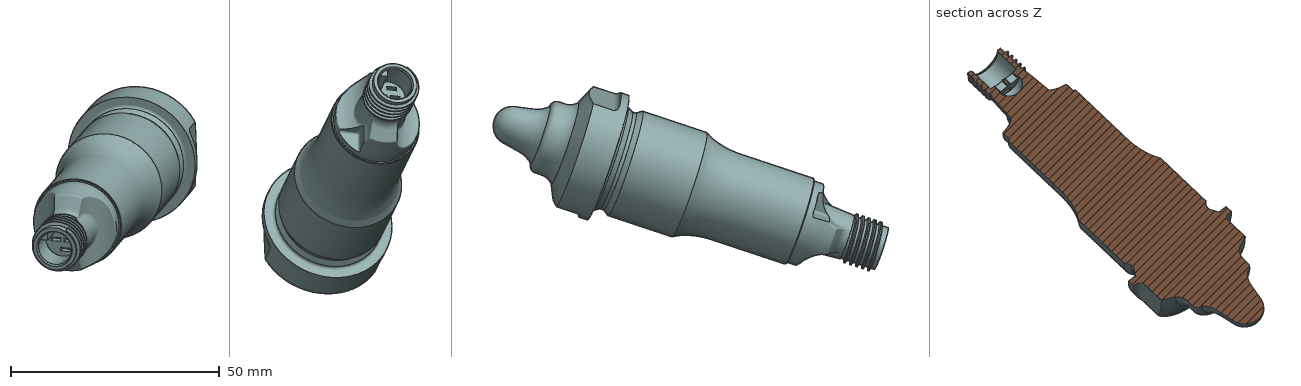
import cadquery as cq
import math


TOTAL_LENGTH = 98.0
FLANGE_RADIUS = 31.5 / 2

NOSE_BALL_RADIUS = 4.71
NOSE_BALL_END_Y = TOTAL_LENGTH - 3.7
NOSE_CONE_END_Y = 89.6
NOSE_CONE_END_RADIUS = 5.5
NOSE_FLARE_END_Y = 86.3
NOSE_FLARE_END_RADIUS = 7.3
COLLAR_RADIUS = 18.0 / 2
COLLAR_TOP_Y = 84.6
COLLAR_BOTTOM_Y = 83.0

FLANGE_CONE_RADIUS = 20.6 / 2
FLANGE_CONE_Y = 80.1
FLANGE_TOP_Y = 77.5
FLANGE_BOTTOM_Y = 69.2
FLAT_DISTANCE = 13.5
FLAT_BOTTOM_Y = 71.2
FLAT_ROOT_RADIUS = 1.3

GROOVE_LIP_RADIUS = 13.8
GROOVE_LIP_ROUND = 0.7
GROOVE_RADIUS = 12.25
GROOVE_TOP_Y = 67.1
GROOVE_BOTTOM_Y = 66.2

BARREL_RADIUS = 13.2
BARREL_TOP_Y = 64.8
BARREL_BOTTOM_Y = 48.6
FLARE_RADIUS = 12.3
FLARE_TOP_Y = 46.9
FLARE_BOTTOM_Y = 39.5
SLEEVE_RADIUS = 10.85
SLEEVE_BOTTOM_Y = 20.6
SLEEVE_CHAMFER = 0.2

SHOULDER_RADIUS = 20.6 / 2
SHOULDER_TAPER_Y = 18.4
WEB_END_RADIUS = 9.6
WEB_END_Y = 12.4
WEB_SLOPE_RADIUS = 6.8
WEB_SLOPE_Y = 10.8
WEB_ROOT_RADIUS = 5.65
WEB_HALF_WIDTH = 3.2
SCOOP_RADIUS = 7.3
SCOOP_TOP_Y = 18.0
SCOOP_EDGE_ROUND = 0.45

NECK_TOP_RADIUS = 6.25
NECK_TOP_Y = 19.0
NECK_BOTTOM_RADIUS = 5.5
NECK_BOTTOM_Y = 8.7
NECK_ROOT_ROUND = 0.7

NOTCH_X = -4.3
NOTCH_Z = -4.1
NOTCH_TOP_Y = 19.0
NOTCH_ROUND = 0.6

THREAD_ROOT_RADIUS = 10.6 / 2
THREAD_CREST_RADIUS = 6.05
THREAD_PITCH = 1.5
THREAD_TURNS = 5.0
THREAD_END_Y = 1.0
THREAD_END_ANGLE = 60.0
THREAD_BASE_WIDTH = 1.0
THREAD_CREST_WIDTH = 0.35
THREAD_EMBED = 0.2

MOUTH_RADIUS = 8.81 / 2
BORE_RADIUS = 8.2 / 2
MOUTH_CHAMFER_DEPTH = 0.5
BORE_DEPTH = 7.0
KEY_OFFSET = 1.85
CONTACT_LENGTH = 2.4
CONTACT_WIDTH = 0.9
CONTACT_CENTERS = [(0.77, 2.4), (0.77, -2.4), (-1.62, 0.0), (1.65, 0.0)]
INSERT_THICKNESS = 2.0
CHAMBER_RADIUS = 3.2

REACH = 2 * FLANGE_RADIUS
EDGE_MARGIN = 0.1
SLOT_OVERLAP = 0.2


def revolve_about_y(profile):
    """Full turn about Y, with the surface seam on the Z side, clear of the scoops."""
    turned = profile.close().revolve(360, (0, 0, 0), (0, 1, 0))
    return turned.rotate((0, 0, 0), (0, 1, 0), 90)


def ring_arc_mid(start, end, center):
    """Point halfway along the short arc from start to end about center."""
    radius = math.hypot(start[0] - center[0], start[1] - center[1])
    chord_x = (start[0] + end[0]) / 2 - center[0]
    chord_y = (start[1] + end[1]) / 2 - center[1]
    stretch = radius / math.hypot(chord_x, chord_y)
    return center[0] + chord_x * stretch, center[1] + chord_y * stretch


def axial_arc_mid(straight_end, flared_end):
    """Middle of an arc from straight_end, where it runs parallel to the axis, to flared_end."""
    rise = flared_end[0] - straight_end[0]
    run = flared_end[1] - straight_end[1]
    radius = (rise**2 + run**2) / (2 * rise)
    center = (straight_end[0] + radius, straight_end[1])
    return ring_arc_mid(straight_end, flared_end, center)


def make_turned_body():
    ball_center = (0, TOTAL_LENGTH - NOSE_BALL_RADIUS)
    tip = (0, TOTAL_LENGTH)
    ball_offset = NOSE_BALL_END_Y - ball_center[1]
    ball_end = (math.sqrt(NOSE_BALL_RADIUS**2 - ball_offset**2), NOSE_BALL_END_Y)
    flare_end = (NOSE_FLARE_END_RADIUS, NOSE_FLARE_END_Y)
    collar_top = (COLLAR_RADIUS, COLLAR_TOP_Y)
    collar_bottom = (COLLAR_RADIUS, COLLAR_BOTTOM_Y)
    cone_start = (FLANGE_CONE_RADIUS, FLANGE_CONE_Y)
    groove_lip = (GROOVE_LIP_RADIUS, FLANGE_BOTTOM_Y)
    groove_edge = (GROOVE_LIP_RADIUS - GROOVE_LIP_ROUND, FLANGE_BOTTOM_Y - GROOVE_LIP_ROUND)
    barrel_flare = (FLARE_RADIUS, FLARE_TOP_Y)
    sleeve_top = (SLEEVE_RADIUS, FLARE_BOTTOM_Y)
    profile = (
        cq.Workplane("XY")
        .moveTo(*tip)
        .threePointArc(ring_arc_mid(tip, ball_end, ball_center), ball_end)
        .lineTo(NOSE_CONE_END_RADIUS, NOSE_CONE_END_Y)
        .tangentArcPoint(flare_end, relative=False)
        .threePointArc(axial_arc_mid(collar_top, flare_end), collar_top)
        .lineTo(*collar_bottom)
        .threePointArc(axial_arc_mid(collar_bottom, cone_start), cone_start)
        .lineTo(FLANGE_RADIUS, FLANGE_TOP_Y)
        .lineTo(FLANGE_RADIUS, FLANGE_BOTTOM_Y)
        .lineTo(*groove_lip)
        .threePointArc(axial_arc_mid(groove_edge, groove_lip), groove_edge)
        .lineTo(GROOVE_RADIUS, GROOVE_TOP_Y)
        .lineTo(GROOVE_RADIUS, GROOVE_BOTTOM_Y)
        .lineTo(BARREL_RADIUS, BARREL_TOP_Y)
        .lineTo(BARREL_RADIUS, BARREL_BOTTOM_Y)
        .lineTo(*barrel_flare)
        .threePointArc(axial_arc_mid(sleeve_top, barrel_flare), sleeve_top)
        .lineTo(SLEEVE_RADIUS, SLEEVE_BOTTOM_Y + SLEEVE_CHAMFER)
        .lineTo(SLEEVE_RADIUS - SLEEVE_CHAMFER, SLEEVE_BOTTOM_Y)
        .lineTo(SHOULDER_RADIUS, SLEEVE_BOTTOM_Y)
        .lineTo(SHOULDER_RADIUS, SHOULDER_TAPER_Y)
        .lineTo(WEB_END_RADIUS, WEB_END_Y)
        .lineTo(WEB_SLOPE_RADIUS, WEB_SLOPE_Y)
        .tangentArcPoint((WEB_ROOT_RADIUS, NECK_BOTTOM_Y), relative=False)
        .lineTo(0, NECK_BOTTOM_Y)
    )
    return revolve_about_y(profile)


def make_flat_cutter(side):
    root_x = FLAT_DISTANCE + FLAT_ROOT_RADIUS
    root_y = FLAT_BOTTOM_Y + FLAT_ROOT_RADIUS
    flat_root = (FLAT_DISTANCE, root_y)
    flat_end = (root_x, FLAT_BOTTOM_Y)
    cutter = (
        cq.Workplane("XY")
        .moveTo(FLAT_DISTANCE, FLANGE_CONE_Y)
        .lineTo(*flat_root)
        .threePointArc(ring_arc_mid(flat_root, flat_end, (root_x, root_y)), flat_end)
        .lineTo(REACH, FLAT_BOTTOM_Y)
        .lineTo(REACH, FLANGE_CONE_Y)
        .close()
        .extrude(FLANGE_RADIUS, both=True)
    )
    return cutter if side > 0 else cutter.mirror("YZ")


def make_scoop_cutter(side):
    center = (WEB_HALF_WIDTH + SCOOP_RADIUS, SCOOP_TOP_Y - SCOOP_RADIUS)
    top = (center[0], SCOOP_TOP_Y)
    web_side = (WEB_HALF_WIDTH, center[1])
    cutter = (
        cq.Workplane("XY")
        .moveTo(REACH, SCOOP_TOP_Y)
        .lineTo(*top)
        .threePointArc(ring_arc_mid(top, web_side, center), web_side)
        .lineTo(WEB_HALF_WIDTH, 0)
        .lineTo(REACH, 0)
        .close()
        .extrude(REACH, both=True)
    )
    return cutter if side > 0 else cutter.mirror("YZ")


def make_neck():
    """Tapered neck, extended at the same taper to Y = 0."""
    taper = (NECK_TOP_RADIUS - NECK_BOTTOM_RADIUS) / (NECK_TOP_Y - NECK_BOTTOM_Y)
    profile = (
        cq.Workplane("XY")
        .moveTo(0, NECK_TOP_Y)
        .lineTo(NECK_TOP_RADIUS, NECK_TOP_Y)
        .lineTo(NECK_BOTTOM_RADIUS - taper * NECK_BOTTOM_Y, 0)
        .lineTo(0, 0)
    )
    return revolve_about_y(profile)


def side_boxes(low, high):
    """Selector for edges centred in a box on the +X side or in its mirror image."""
    right_box = cq.selectors.BoxSelector(low, high)
    left_box = cq.selectors.BoxSelector((-high[0], low[1], low[2]), (-low[0], high[1], high[2]))
    return right_box + left_box


def make_scooped_block():
    """Oversize block with both scoops and the neck; the turned body trims its outside."""
    block = cq.Workplane("XY").box(2 * REACH, TOTAL_LENGTH, 2 * REACH, centered=(True, False, True))
    for side in (-1, 1):
        block = block.cut(make_scoop_cutter(side))
    block = block.union(make_neck())
    neck_roots = side_boxes(
        (WEB_HALF_WIDTH - EDGE_MARGIN, EDGE_MARGIN, -NECK_TOP_RADIUS),
        (NECK_TOP_RADIUS, SCOOP_TOP_Y - EDGE_MARGIN, NECK_TOP_RADIUS),
    )
    return block.edges(neck_roots).fillet(NECK_ROOT_ROUND)


def round_scoop_edges(body):
    """Round the rim of each scoop and the edges of the web end slope."""
    shoulder_edges = side_boxes(
        (NECK_TOP_RADIUS, WEB_END_Y + EDGE_MARGIN, -EDGE_MARGIN),
        (SHOULDER_RADIUS, SCOOP_TOP_Y, EDGE_MARGIN),
    )
    slope_half_width = WEB_HALF_WIDTH + SCOOP_EDGE_ROUND
    slope_low = (-slope_half_width, WEB_SLOPE_Y + EDGE_MARGIN, WEB_SLOPE_RADIUS)
    slope_high = (slope_half_width, WEB_END_Y + EDGE_MARGIN, WEB_END_RADIUS)
    upper_web_edges = cq.selectors.BoxSelector(slope_low, slope_high)
    lower_web_edges = cq.selectors.BoxSelector(
        (slope_low[0], slope_low[1], -slope_high[2]),
        (slope_high[0], slope_high[1], -slope_low[2]),
    )
    return body.edges(shoulder_edges + upper_web_edges + lower_web_edges).fillet(SCOOP_EDGE_ROUND)


def make_notch_cutter():
    return (
        cq.Workplane("XY")
        .box(REACH, NOTCH_TOP_Y, REACH, centered=False)
        .translate((NOTCH_X - REACH, 0, NOTCH_Z - REACH))
        .edges(">X or >Y or >Z")
        .edges("(>X and >Y) or (>X and >Z) or (>Y and >Z)")
        .fillet(NOTCH_ROUND)
    )


def make_thread():
    """Threaded stub: a core with one helical ridge, built along +Z and laid onto -Y."""
    core = cq.Workplane("XY").circle(THREAD_ROOT_RADIUS).extrude(NECK_BOTTOM_Y)
    rise = THREAD_PITCH * THREAD_TURNS
    inner_radius = THREAD_ROOT_RADIUS - THREAD_EMBED
    helix = cq.Workplane(cq.Wire.makeHelix(THREAD_PITCH, rise, THREAD_ROOT_RADIUS))
    ridge = (
        cq.Workplane("XZ")
        .moveTo(inner_radius, -THREAD_BASE_WIDTH / 2)
        .lineTo(THREAD_CREST_RADIUS, -THREAD_CREST_WIDTH / 2)
        .lineTo(THREAD_CREST_RADIUS, THREAD_CREST_WIDTH / 2)
        .lineTo(inner_radius, THREAD_BASE_WIDTH / 2)
        .close()
        .sweep(helix, isFrenet=True)
        .rotate((0, 0, 0), (0, 0, 1), -THREAD_END_ANGLE)
        .translate((0, 0, THREAD_END_Y))
    )
    return core.union(ridge).rotate((0, 0, 0), (1, 0, 0), -90)


def make_socket_cutter():
    bore_profile = (
        cq.Workplane("XY")
        .moveTo(0, 0)
        .lineTo(MOUTH_RADIUS, 0)
        .lineTo(BORE_RADIUS, MOUTH_CHAMFER_DEPTH)
        .lineTo(BORE_RADIUS, BORE_DEPTH)
        .lineTo(0, BORE_DEPTH)
    )
    key = (
        cq.Workplane("XY")
        .box(REACH, BORE_DEPTH, REACH, centered=False)
        .translate((-KEY_OFFSET - REACH, MOUTH_CHAMFER_DEPTH, KEY_OFFSET))
    )
    return revolve_about_y(bore_profile).cut(key)


def make_contact_cutter():
    """Contact slots through the insert, opening into a round-bottomed chamber."""
    chamber_y = BORE_DEPTH + INSERT_THICKNESS
    dome_mid = CHAMBER_RADIUS * math.sqrt(0.5)
    chamber_profile = (
        cq.Workplane("XY")
        .moveTo(0, chamber_y)
        .lineTo(CHAMBER_RADIUS, chamber_y)
        .threePointArc((dome_mid, chamber_y + dome_mid), (0, chamber_y + CHAMBER_RADIUS))
    )
    cutter = revolve_about_y(chamber_profile)
    for x, z in CONTACT_CENTERS:
        slot = (
            cq.Workplane("XY")
            .box(CONTACT_LENGTH, INSERT_THICKNESS + SLOT_OVERLAP, CONTACT_WIDTH, centered=(True, False, True))
            .translate((x, BORE_DEPTH, z))
        )
        cutter = cutter.union(slot)
    return cutter


body = make_turned_body().intersect(make_scooped_block())
body = round_scoop_edges(body)
for side in (-1, 1):
    body = body.cut(make_flat_cutter(side))
body = body.cut(make_notch_cutter())
body = body.union(make_thread())
result = body.cut(make_socket_cutter()).cut(make_contact_cutter())